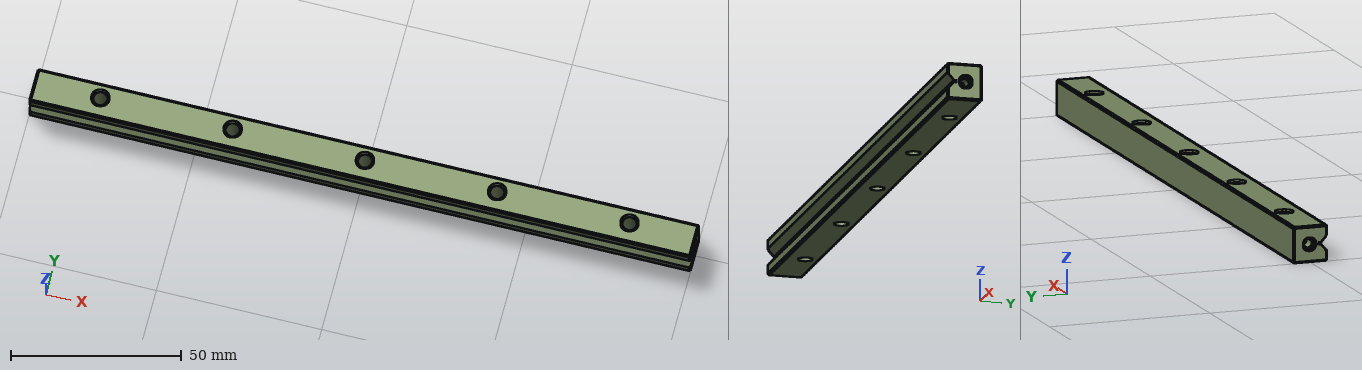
import cadquery as cq

LENGTH = 200.0
WIDTH = 10.5
HEIGHT = 11.0
EDGE_CHAMFER = 0.5

GROOVE_MOUTH = 5.0
GROOVE_DEPTH = 2.0
RELIEF_WIDTH = 0.5
RELIEF_DEPTH = 2.8

HOLE_COUNT = 5
HOLE_PITCH = LENGTH / HOLE_COUNT
HOLE_DIAMETER = 4.2
HOLE_CHAMFER = 0.5
HOLE_Y = 0.8

END_MOUTH_DIAMETER = 4.2
END_ENTRY_DIAMETER = 3.2
END_ENTRY_DEPTH = 1.5
END_BORE_DIAMETER = 2.5
END_BORE_DEPTH = 6.0
END_HOLE_Y = 0.3


def rail_body():
    """Rectangular bar, chamfered on all its outer edges."""
    return cq.Workplane("XY").box(LENGTH, WIDTH, HEIGHT).edges().chamfer(EDGE_CHAMFER)


def groove():
    """V groove running into the parallel-sided relief slot, over the full length."""
    front = -WIDTH / 2
    half_mouth = GROOVE_MOUTH / 2
    half_relief = RELIEF_WIDTH / 2
    slot_start = front + GROOVE_DEPTH
    slot_end = front + RELIEF_DEPTH
    outline = [
        (front, half_mouth),
        (slot_start, half_relief),
        (slot_end, half_relief),
        (slot_end, -half_relief),
        (slot_start, -half_relief),
        (front, -half_mouth),
    ]
    return cq.Workplane("YZ").polyline(outline).close().extrude(LENGTH / 2, both=True)


def mounting_hole(x):
    """Through hole with a 45 degree chamfer at the top face."""
    radius = HOLE_DIAMETER / 2
    top = HEIGHT / 2
    profile = [
        (0, -top),
        (radius, -top),
        (radius, top - HOLE_CHAMFER),
        (radius + HOLE_CHAMFER, top),
        (0, top),
    ]
    hole = cq.Workplane("XZ").polyline(profile).close().revolve(360, (0, 0), (0, 1))
    return hole.translate((x, HOLE_Y, 0))


def end_hole():
    """Stepped blind hole in the left (-X) end, with 45 degree mouth and drill point."""
    mouth_radius = END_MOUTH_DIAMETER / 2
    entry_radius = END_ENTRY_DIAMETER / 2
    bore_radius = END_BORE_DIAMETER / 2
    profile = [
        (0, 0),
        (0, mouth_radius),
        (mouth_radius - entry_radius, entry_radius),
        (END_ENTRY_DEPTH, entry_radius),
        (END_ENTRY_DEPTH, bore_radius),
        (END_BORE_DEPTH, bore_radius),
        (END_BORE_DEPTH + bore_radius, 0),
    ]
    hole = cq.Workplane("XY").polyline(profile).close().revolve(360, (0, 0), (1, 0))
    return hole.translate((-LENGTH / 2, END_HOLE_Y, 0))


result = rail_body().cut(groove())

first_hole_x = (HOLE_PITCH - LENGTH) / 2
for index in range(HOLE_COUNT):
    result = result.cut(mounting_hole(first_hole_x + index * HOLE_PITCH))

left_end_hole = end_hole()
result = result.cut(left_end_hole).cut(left_end_hole.mirror("YZ"))